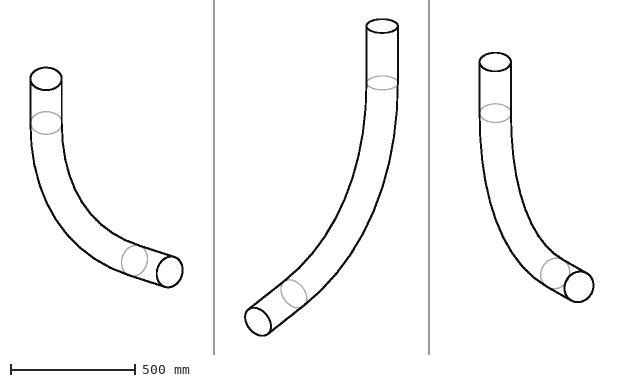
import cadquery as cq
import math

overall_height = 1556.0
outer_diameter = 128.0
inner_diameter = 125.0
leg_length = 254.0
bend_angle = 45.0

bend_sin = math.sin(math.radians(bend_angle))
bend_cos = math.cos(math.radians(bend_angle))

end_drop = outer_diameter / 2 * bend_sin
bend_height = overall_height - leg_length * (1 + bend_cos) - end_drop
bend_radius = bend_height / bend_sin


def bend_point(angle):
    """Centreline point (Y, Z) at an angle in degrees from the start of the bend."""
    turn = math.radians(angle)
    y = bend_radius * (1 - math.cos(turn))
    z = -leg_length - bend_radius * math.sin(turn)
    return (y, z)


bend_end_y, bend_end_z = bend_point(bend_angle)
centreline = (
    cq.Workplane("YZ")
    .lineTo(*bend_point(0))
    .threePointArc(bend_point(bend_angle / 2), (bend_end_y, bend_end_z))
    .lineTo(bend_end_y + leg_length * bend_sin, bend_end_z - leg_length * bend_cos)
)

result = (
    cq.Workplane("XY")
    .circle(outer_diameter / 2)
    .circle(inner_diameter / 2)
    .sweep(centreline)
)